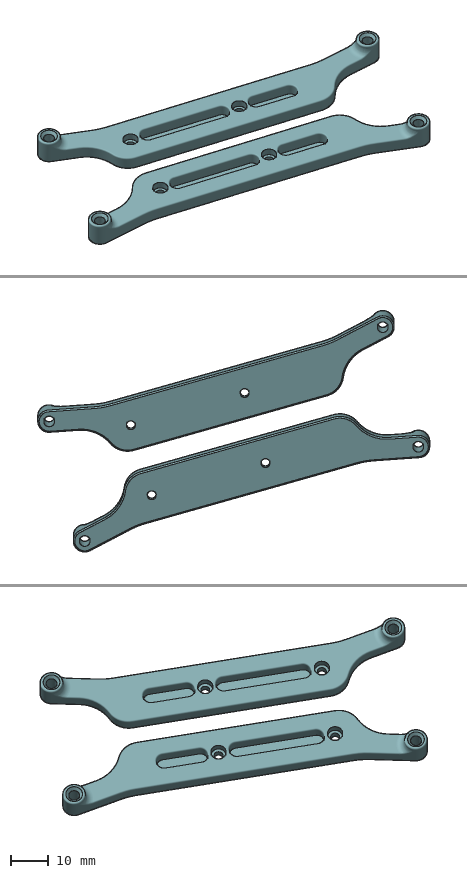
import cadquery as cq
import math

LENGTH = 98.5
WIDTH = 40.1
BOSS_HEIGHT = 7.0
PLATE_HEIGHT = 4.0
EDGE_CHAMFER = 0.4
EDGE_ROUND = 0.4
TOLERANCE = 0.01

BOSS_DIAMETER = 6.1
BOSS_RADIUS = BOSS_DIAMETER / 2
BOSS_HOLE_DIAMETER = 2.9
BOSS_SINK_DIAMETER = 4.4
BOSS_SINK_DEPTH = 0.8
BOSS_X = WIDTH / 2 - BOSS_RADIUS
BOSS_Y = LENGTH / 2 - BOSS_RADIUS
COVE_RADIUS = 2.1
CORE_GAP = 0.1

OUTER_X = BOSS_X
INNER_X = 3.1
ARM_ANGLE = math.radians(12.0)
ELBOW_RADIUS = 20.0
SHOULDER_RADIUS = 6.0
SHOULDER_Y = 26.8
NECK_RADIUS = 10.0

ROW_X = 9.9
POCKET_WIDTH = 4.0
POCKET_ROUND = 0.4
POCKET_DEPTH = 3.25
POCKET_SPANS = [(8.8, 22.7), (-22.7, 3.0)]
HOLE_YS = [5.9, -25.6]
HOLE_DIAMETER = 2.4
HOLE_BORE_DIAMETER = 4.0
HOLE_BORE_DEPTH = 2.1


def polar(center, radius, angle):
    """Point at the given radius and angle around a center."""
    return (center[0] + radius * math.cos(angle), center[1] + radius * math.sin(angle))


def outline():
    """Closed outline of the bracket on the +X side, symmetric about the X axis."""
    boss = (BOSS_X, BOSS_Y)
    boss_outer = polar(boss, BOSS_RADIUS, -ARM_ANGLE)
    boss_tip = (BOSS_X, BOSS_Y + BOSS_RADIUS)
    boss_inner = polar(boss, BOSS_RADIUS, math.pi - ARM_ANGLE)

    elbow_x = OUTER_X + ELBOW_RADIUS
    elbow_end_x = elbow_x - ELBOW_RADIUS * math.cos(ARM_ANGLE)
    elbow_end_y = boss_outer[1] - (boss_outer[0] - elbow_end_x) / math.tan(ARM_ANGLE)
    elbow = (elbow_x, elbow_end_y - ELBOW_RADIUS * math.sin(ARM_ANGLE))
    elbow_start = (OUTER_X, elbow[1])
    elbow_middle = polar(elbow, ELBOW_RADIUS, math.pi - ARM_ANGLE / 2)
    elbow_end = (elbow_end_x, elbow_end_y)

    shoulder = (INNER_X + SHOULDER_RADIUS, SHOULDER_Y)
    neck_offset = BOSS_RADIUS + NECK_RADIUS
    foot = polar(boss, neck_offset, math.pi - ARM_ANGLE)
    arm_down = (-math.sin(ARM_ANGLE), -math.cos(ARM_ANGLE))
    gap_x = foot[0] - shoulder[0]
    gap_y = foot[1] - shoulder[1]
    along = gap_x * arm_down[0] + gap_y * arm_down[1]
    reach = SHOULDER_RADIUS + NECK_RADIUS
    slide = -along - math.sqrt(along**2 - gap_x**2 - gap_y**2 + reach**2)
    neck = (foot[0] + slide * arm_down[0], foot[1] + slide * arm_down[1])
    neck_turn = math.atan2(neck[1] - shoulder[1], neck[0] - shoulder[0])
    neck_start = polar(neck, NECK_RADIUS, -ARM_ANGLE)
    neck_middle = polar(neck, NECK_RADIUS, (neck_turn - math.pi - ARM_ANGLE) / 2)
    neck_end = polar(shoulder, SHOULDER_RADIUS, neck_turn)
    shoulder_middle = polar(shoulder, SHOULDER_RADIUS, (neck_turn + math.pi) / 2)
    shoulder_end = (INNER_X, SHOULDER_Y)

    def low(point):
        return (point[0], -point[1])

    return (
        cq.Workplane("XY")
        .moveTo(*low(elbow_start))
        .lineTo(*elbow_start)
        .threePointArc(elbow_middle, elbow_end)
        .lineTo(*boss_outer)
        .threePointArc(boss_tip, boss_inner)
        .lineTo(*neck_start)
        .threePointArc(neck_middle, neck_end)
        .threePointArc(shoulder_middle, shoulder_end)
        .lineTo(*low(shoulder_end))
        .threePointArc(low(shoulder_middle), low(neck_end))
        .threePointArc(low(neck_middle), low(neck_start))
        .lineTo(*low(boss_inner))
        .threePointArc(low(boss_tip), low(boss_outer))
        .lineTo(*low(elbow_end))
        .threePointArc(low(elbow_middle), low(elbow_start))
        .close()
    )


def boss_flare(boss_y):
    """Boss with a round cove that spreads out from its wall to the top of the plate."""
    foot_radius = BOSS_RADIUS + COVE_RADIUS
    return (
        cq.Workplane("XZ")
        .lineTo(foot_radius, 0)
        .lineTo(foot_radius, PLATE_HEIGHT)
        .radiusArc((BOSS_RADIUS, PLATE_HEIGHT + COVE_RADIUS), COVE_RADIUS)
        .lineTo(BOSS_RADIUS, BOSS_HEIGHT)
        .lineTo(0, BOSS_HEIGHT)
        .close()
        .revolve()
        .translate((BOSS_X, boss_y, 0))
    )


def blank():
    """Flat plate with the flared bosses, rounded along the top rims and chamfered underneath."""
    boss_centers = [(BOSS_X, BOSS_Y), (BOSS_X, -BOSS_Y)]
    flares = boss_flare(BOSS_Y).union(boss_flare(-BOSS_Y))
    raw = outline().extrude(PLATE_HEIGHT).union(flares.intersect(outline().extrude(BOSS_HEIGHT)))

    cores = cq.Workplane("XY").pushPoints(boss_centers).circle(BOSS_RADIUS + CORE_GAP).extrude(BOSS_HEIGHT)
    plate_rim = cq.selectors.BoxSelector(
        (0, -SHOULDER_Y, PLATE_HEIGHT - TOLERANCE),
        (WIDTH, SHOULDER_Y, PLATE_HEIGHT + TOLERANCE),
    )
    plate = raw.cut(cores).edges(plate_rim).fillet(EDGE_ROUND)
    bosses = raw.intersect(cores).faces(">Z").fillet(EDGE_ROUND)
    return plate.union(bosses).faces("<Z").chamfer(EDGE_CHAMFER)


def boss_holes():
    """Through holes in the bosses, each with a conical mouth."""
    profile = (
        cq.Workplane("XZ")
        .lineTo(BOSS_HOLE_DIAMETER / 2, 0)
        .lineTo(BOSS_HOLE_DIAMETER / 2, BOSS_HEIGHT - BOSS_SINK_DEPTH)
        .lineTo(BOSS_SINK_DIAMETER / 2, BOSS_HEIGHT)
        .lineTo(0, BOSS_HEIGHT)
        .close()
        .revolve()
    )
    return profile.translate((BOSS_X, BOSS_Y, 0)).union(profile.translate((BOSS_X, -BOSS_Y, 0)))


def plate_holes():
    """Counterbored through holes in the plate."""
    places = cq.Workplane("XY").pushPoints([(ROW_X, y) for y in HOLE_YS])
    holes = places.circle(HOLE_DIAMETER / 2).extrude(PLATE_HEIGHT)
    bores = places.circle(HOLE_BORE_DIAMETER / 2).extrude(HOLE_BORE_DEPTH)
    return holes.union(bores.translate((0, 0, PLATE_HEIGHT - HOLE_BORE_DEPTH)))


def pocket(low_y, high_y):
    """Blind round-ended pocket, without the rounding of its mouth."""
    return (
        cq.Workplane("XY", origin=(ROW_X, (low_y + high_y) / 2, PLATE_HEIGHT - POCKET_DEPTH))
        .slot2D(high_y - low_y, POCKET_WIDTH, 90)
        .extrude(POCKET_DEPTH)
    )


def bracket():
    """Bracket on the +X side; only the straight pocket edges are picked, the rounding runs on around."""
    body = blank().cut(boss_holes()).cut(plate_holes())
    for low_y, high_y in POCKET_SPANS:
        body = body.cut(pocket(low_y, high_y))
    lowest_y = min(low_y for low_y, high_y in POCKET_SPANS)
    highest_y = max(high_y for low_y, high_y in POCKET_SPANS)
    pocket_mouths = cq.selectors.BoxSelector(
        (ROW_X - POCKET_WIDTH, lowest_y - POCKET_ROUND, PLATE_HEIGHT - TOLERANCE),
        (ROW_X + POCKET_WIDTH, highest_y + POCKET_ROUND, PLATE_HEIGHT + TOLERANCE),
    )
    return body.edges(pocket_mouths).edges("not %CIRCLE").fillet(POCKET_ROUND)


right_bracket = bracket()
left_bracket = right_bracket.mirror("YZ")

result = cq.Compound.makeCompound([left_bracket.val(), right_bracket.val()])